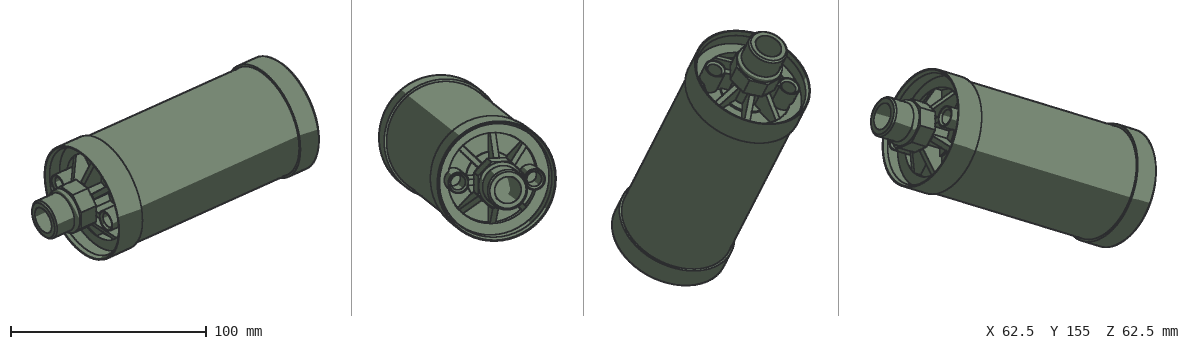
import cadquery as cq
import math


overall_length = 155
fitting_length = 25.0
front_cap_length = 15.0
rear_cap_length = 12.9
rear_end = overall_length - fitting_length
rear_cap_start = rear_end - rear_cap_length

cap_diameter = 62.5
tube_diameter = 60.0
rear_cap_chamfer = 1.1

rim_diameter = 61.4
recess_diameter = 59.0
rim_chamfer_depth = 2.0
ledge_depth = 8.5
pocket_diameter = 47.3
pocket_depth = 12.5

hub_diameter = 18.0
pad_diameter = 26.4
pad_depth = 11.5
sloped_rib_angles = (45, 90, 135, 225, 270, 315)
rib_width = 3.0
rib_inner_depth = 0.5
rib_wall_overlap = 0.8
boss_spacing = 40.0
boss_diameter = 11.0
boss_hole_diameter = 7.8
boss_mouth_diameter = 10.0
boss_mouth_depth = (boss_mouth_diameter - boss_hole_diameter) / 2

octagon_sides = 8
octagon_across_flats = 24.0
octagon_length = 9.8
nipple_diameter = 21.0
nipple_chamfer = 1.0
bore_diameter = 14
bore_floor_diameter = 10.0
bore_depth = 20.2

ring_section_diameter = 3.1
groove_diameter = 18.0


def turned(points):
    """Solid of revolution about Y from a closed (radius, Y) outline."""
    return cq.Workplane("XY").polyline(points).close().revolve(360, (0, 0), (0, 1))


def cylinder(diameter, start, end, x=0):
    """Cylinder along Y from start to end, with its axis at the given X."""
    plane = cq.Plane(origin=(x, start, 0), xDir=(1, 0, 0), normal=(0, 1, 0))
    return cq.Workplane(plane).circle(diameter / 2).extrude(end - start)


def make_cap_shell():
    """Front cap without its inner details: rim, ledge and pocket, open to the front."""
    return turned([
        (0, front_cap_length),
        (cap_diameter / 2, front_cap_length),
        (cap_diameter / 2, 0),
        (rim_diameter / 2, 0),
        (recess_diameter / 2, rim_chamfer_depth),
        (recess_diameter / 2, ledge_depth),
        (pocket_diameter / 2, ledge_depth),
        (pocket_diameter / 2, pocket_depth),
        (0, pocket_depth),
    ])


def make_sloped_rib(angle):
    """Radial web whose front edge falls from near the octagon to the ledge, turned about Y."""
    outer_radius = pocket_diameter / 2
    rib = (
        cq.Workplane("XY")
        .moveTo(0, rib_inner_depth)
        .lineTo(octagon_across_flats / 2, rib_inner_depth)
        .lineTo(outer_radius, ledge_depth)
        .lineTo(outer_radius + rib_wall_overlap, ledge_depth)
        .lineTo(outer_radius + rib_wall_overlap, front_cap_length)
        .lineTo(0, front_cap_length)
        .close()
        .extrude(rib_width / 2, both=True)
    )
    return rib.rotate((0, 0, 0), (0, 1, 0), angle)


def make_boss_web():
    """Flat-fronted web through the hub that joins the two bosses."""
    return cq.Workplane("XY").box(boss_spacing, front_cap_length, rib_width).translate(
        (0, front_cap_length / 2, 0)
    )


def make_boss_hole(x):
    """Blind screw hole with a countersunk mouth."""
    hole = cylinder(boss_hole_diameter, 0, pocket_depth, x)
    countersink = turned([
        (0, 0),
        (boss_mouth_diameter / 2, 0),
        (boss_hole_diameter / 2, boss_mouth_depth),
        (0, boss_mouth_depth),
    ])
    return hole.union(countersink.translate((x, 0, 0)))


def make_front_cap():
    cap = (
        make_cap_shell()
        .union(cylinder(pad_diameter, pad_depth, front_cap_length))
        .union(cylinder(hub_diameter, 0, front_cap_length))
        .union(make_boss_web())
    )
    for angle in sloped_rib_angles:
        cap = cap.union(make_sloped_rib(angle))
    boss_positions = (-boss_spacing / 2, boss_spacing / 2)
    for x in boss_positions:
        cap = cap.union(cylinder(boss_diameter, 0, front_cap_length, x))
    for x in boss_positions:
        cap = cap.cut(make_boss_hole(x))
    return cap


def make_tube():
    return cylinder(tube_diameter, front_cap_length, rear_cap_start)


def make_rear_cap():
    return cylinder(cap_diameter, rear_cap_start, rear_end).faces(">Y").chamfer(rear_cap_chamfer)


def make_fitting():
    """Octagon, ring groove and nipple with a blind bore that has a rounded floor edge."""
    octagon_across_corners = octagon_across_flats / math.cos(math.pi / octagon_sides)
    octagon = (
        cq.Workplane("XZ")
        .polygon(octagon_sides, octagon_across_corners)
        .extrude(octagon_length)
        .rotate((0, 0, 0), (0, 1, 0), 180 / octagon_sides)
    )
    nipple_start = -octagon_length - ring_section_diameter
    neck = cylinder(groove_diameter, nipple_start, -octagon_length)
    nipple = cylinder(nipple_diameter, -fitting_length, nipple_start).faces("<Y").chamfer(nipple_chamfer)
    bore = (
        cylinder(bore_diameter, -fitting_length, bore_depth - fitting_length)
        .faces(">Y")
        .edges()
        .fillet((bore_diameter - bore_floor_diameter) / 2)
    )
    return octagon.union(neck).union(nipple).cut(bore)


def make_sealing_ring():
    section_radius = ring_section_diameter / 2
    center = (groove_diameter / 2 + section_radius, -octagon_length - section_radius)
    return (
        cq.Workplane("XY")
        .moveTo(*center)
        .circle(section_radius)
        .revolve(360, (0, 0), (0, 1))
    )


front_cap = make_front_cap()
tube = make_tube()
rear_cap = make_rear_cap()
fitting = make_fitting()
sealing_ring = make_sealing_ring()

result = cq.Compound.makeCompound([
    front_cap.val(),
    tube.val(),
    rear_cap.val(),
    fitting.val(),
    sealing_ring.val(),
])